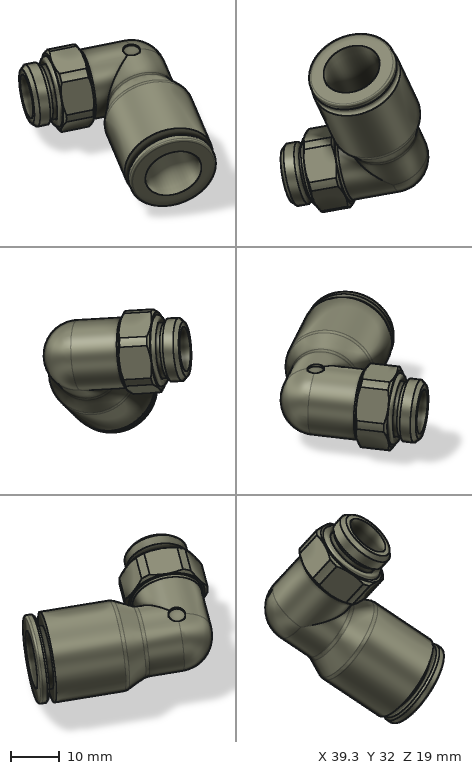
import cadquery as cq
import math


elbow_radius = 7.3
passage_radius = 6.0

sleeve_radius = 19.0 / 2
cone_start = 7.75
cone_end = 12.3
cone_blend_radius = 1.9
sleeve_end = 27.3
neck_radius = 6.6
rim_start = 28.65
arm_end = 30.6
rim_radius = 9.28
rim_edge = 0.47

collar_start = 9.75
collar_radius = 7.55
hex_start = 10.25
hex_end = 17.0
hex_flats = 16.0
hex_corner_radius = 8.73
hex_chamfer_length = 0.47
seal_radius = 7.45
groove_radius = 5.75
groove_end = 18.52
thread_radius = 6.55
thread_end = 22.5
thread_start_chamfer = thread_radius - groove_radius
thread_tip_radius = 5.7
thread_tip_chamfer = 0.95
thread_bore_radius = 4.6
thread_bore_start = 16.9

recess_radius = 1.75
recess_floor = 6.75


def along_arm(start, end, radius):
    """Cylinder on the arm axis between two X positions."""
    return cq.Workplane("YZ").workplane(offset=start).circle(radius).extrude(end - start)


def along_leg(start, end, radius):
    """Cylinder on the leg axis between two distances from the arm axis."""
    return cq.Workplane("XZ").workplane(offset=start).circle(radius).extrude(end - start)


def turned_on_leg(points):
    """Solid turned about the leg axis from (radius, distance) points."""
    profile = [(radius, -distance) for radius, distance in points]
    return cq.Workplane("XY").polyline(profile).close().revolve(360, (0, 0, 0), (0, 1, 0))


def make_arm():
    outline = [
        (0, 0),
        (0, elbow_radius),
        (cone_start, elbow_radius),
        (cone_end, sleeve_radius),
        (sleeve_end, sleeve_radius),
        (sleeve_end, 0),
    ]
    arm = cq.Workplane("XY").polyline(outline).close().revolve(360, (0, 0, 0), (1, 0, 0))
    for edge_position in (cone_start, cone_end):
        nearest_edge = cq.selectors.NearestToPointSelector((edge_position, 0, 0))
        arm = arm.edges(cq.selectors.TypeSelector("CIRCLE") & nearest_edge).fillet(cone_blend_radius)
    return arm


def make_release_ring():
    rim = along_arm(rim_start, arm_end, rim_radius)
    rim = rim.faces("<X").edges().chamfer(rim_edge)
    rim = rim.faces(">X").edges().fillet(rim_edge)
    return along_arm(sleeve_end, rim_start, neck_radius).union(rim)


def make_hex():
    hex_across_corners = hex_flats / math.cos(math.pi / 6)
    prism = (
        cq.Workplane("XZ").workplane(offset=hex_start)
        .polygon(6, hex_across_corners).extrude(hex_end - hex_start)
    )
    end_radius = hex_flats / 2
    blank = turned_on_leg([
        (0, hex_start),
        (end_radius, hex_start),
        (hex_corner_radius, hex_start + hex_chamfer_length),
        (hex_corner_radius, hex_end - hex_chamfer_length),
        (end_radius, hex_end),
        (0, hex_end),
    ])
    return prism.intersect(blank)


def make_collar():
    return turned_on_leg([
        (0, collar_start),
        (elbow_radius, collar_start),
        (collar_radius, hex_start),
        (0, hex_start),
    ])


def make_seal():
    """O-ring seated on the groove, half sunk into the hex end face."""
    section_radius = (seal_radius - groove_radius) / 2
    ring_radius = groove_radius + section_radius
    return (
        cq.Workplane("XY").center(ring_radius, -hex_end).circle(section_radius)
        .revolve(360, (-ring_radius, 0, 0), (-ring_radius, 1, 0))
    )


def make_thread():
    return turned_on_leg([
        (0, hex_end),
        (groove_radius, hex_end),
        (groove_radius, groove_end),
        (thread_radius, groove_end + thread_start_chamfer),
        (thread_radius, thread_end - thread_tip_chamfer),
        (thread_tip_radius, thread_end),
        (0, thread_end),
    ])


def make_passage():
    passage_corner = cq.Workplane("XY").sphere(passage_radius)
    arm_bore = along_arm(0, arm_end, passage_radius)
    leg_bore = along_leg(0, thread_bore_start, passage_radius)
    thread_bore = along_leg(0, thread_end, thread_bore_radius)
    return arm_bore.union(leg_bore).union(passage_corner).union(thread_bore)


elbow_corner = cq.Workplane("XY").sphere(elbow_radius)
recess = (
    cq.Workplane("XY").workplane(offset=recess_floor)
    .circle(recess_radius).extrude(elbow_radius)
)

result = make_arm().union(along_leg(0, hex_start, elbow_radius)).union(elbow_corner)
for feature in (make_release_ring(), make_collar(), make_hex(), make_seal(), make_thread()):
    result = result.union(feature)
result = result.cut(make_passage()).cut(recess)